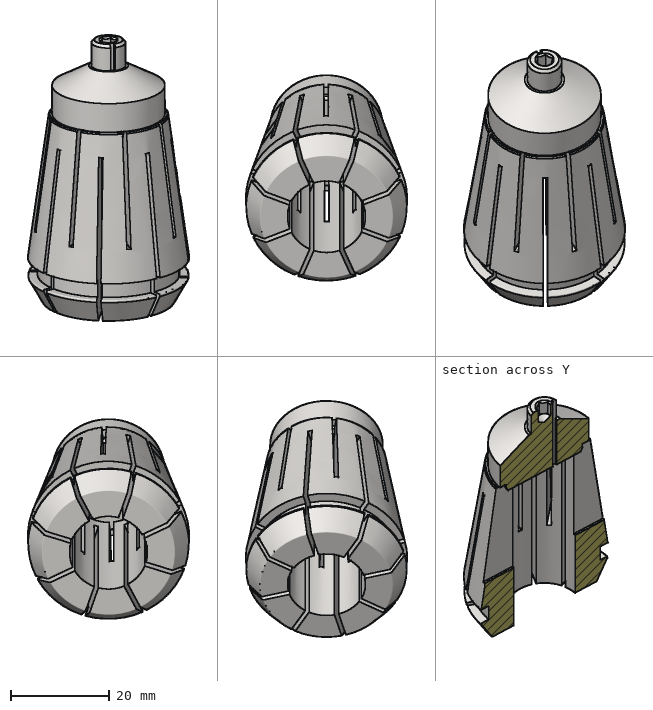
import cadquery as cq
import math

total_height = 56.0
body_max_diameter = 32.9
body_top_diameter = 24.5
body_top_z = 40.05
taper_bottom_z = 9.1
bore_diameter = 15.85
collar_chamfer = 0.3

groove_diameter = 29.0
groove_bottom_z = 5.5
flange_diameter = 32.7
flange_bottom_diameter = 27.1
flange_rim_height = 0.5
flange_rim_round = 0.2
foot_round = 0.2

slot_count = 8
slot_width = 0.9
upper_slot_bottom_z = 16.0
lower_slot_top_z = 35.0

head_diameter = 23.0
plug_diameter = 19.8
plug_bottom_diameter = 18.8
plug_bottom_z = 38.15
plug_cone_height = 0.95
shoulder_z = 46.2
neck_z = 50.45
neck_diameter = 8.05

screw_diameter = 7.0
screw_chamfer_height = 0.6
screw_top_diameter = 5.8
socket_flats = 3.0
socket_depth = 3.35
socket_mouth_diameter = 3.85
drill_tip_angle = 118.0
key_inner_radius = 2.25
key_outer_radius = 3.15
key_width = 1.0


def revolve_profile(points):
    """Revolve a closed (radius, z) outline about the Z axis."""
    return cq.Workplane("XZ").polyline(points).close().revolve(360, (0, 0, 0), (0, 1, 0))


def make_body():
    """Hollow tapered sleeve with its extraction groove and clamping flange."""
    bore_radius = bore_diameter / 2
    top_radius = body_top_diameter / 2
    rim_bottom_z = groove_bottom_z - flange_rim_height
    body = revolve_profile([
        (bore_radius, 0),
        (flange_bottom_diameter / 2, 0),
        (flange_diameter / 2, rim_bottom_z),
        (flange_diameter / 2, groove_bottom_z),
        (groove_diameter / 2, groove_bottom_z),
        (groove_diameter / 2, taper_bottom_z),
        (body_max_diameter / 2, taper_bottom_z),
        (top_radius, body_top_z - collar_chamfer),
        (top_radius - collar_chamfer, body_top_z),
        (bore_radius, body_top_z),
    ])
    rim_edge = cq.selectors.RadiusNthSelector(-2)
    body = body.edges(rim_edge).edges(">Z").fillet(flange_rim_round)
    foot_edge = cq.selectors.RadiusNthSelector(-1)
    return body.faces("<Z").edges(foot_edge).fillet(foot_round)


def make_slot_ring(bottom_z, top_z, first_angle):
    """Evenly spaced radial cutters between two heights."""
    return (
        cq.Workplane("XY", origin=(0, 0, bottom_z))
        .polarArray(body_max_diameter / 2, first_angle, 360, slot_count)
        .rect(body_max_diameter, slot_width)
        .extrude(top_z - bottom_z)
    )


def make_head():
    """Conical head with a plug in the sleeve below it and the screw shank on top."""
    screw_radius = screw_diameter / 2
    return revolve_profile([
        (0, plug_bottom_z),
        (plug_bottom_diameter / 2, plug_bottom_z),
        (plug_diameter / 2, plug_bottom_z + plug_cone_height),
        (plug_diameter / 2, body_top_z),
        (head_diameter / 2, body_top_z),
        (head_diameter / 2, shoulder_z),
        (neck_diameter / 2, neck_z),
        (screw_radius, neck_z),
        (screw_radius, total_height - screw_chamfer_height),
        (screw_top_diameter / 2, total_height),
        (0, total_height),
    ])


def make_socket():
    """Hexagon socket with a drill-point floor and a countersunk mouth."""
    corner_diameter = socket_flats / math.cos(math.radians(30))
    floor_z = total_height - socket_depth
    hexagon = (
        cq.Workplane("XY", origin=(0, 0, floor_z))
        .transformed(rotate=(0, 0, 90))
        .polygon(6, corner_diameter)
        .extrude(socket_depth)
    )
    floor_radius = socket_flats / 2
    tip_depth = floor_radius / math.tan(math.radians(drill_tip_angle / 2))
    mouth_radius = socket_mouth_diameter / 2
    mouth_floor_z = total_height - (mouth_radius - floor_radius)
    drill = revolve_profile([
        (0, floor_z - tip_depth),
        (floor_radius, floor_z),
        (floor_radius, mouth_floor_z),
        (mouth_radius, total_height),
        (0, total_height),
    ])
    return hexagon.union(drill)


def make_key_slot():
    """Slot down the +X side: open along the screw, a closed hole through the head."""
    def key_box(outer_radius, bottom_z):
        length = outer_radius - key_inner_radius
        return (
            cq.Workplane("XY", origin=(key_inner_radius + length / 2, 0, bottom_z))
            .rect(length, key_width)
            .extrude(total_height - bottom_z)
        )

    return key_box(screw_diameter, neck_z).union(key_box(key_outer_radius, plug_bottom_z))


half_pitch = 180 / slot_count
upper_slots = make_slot_ring(upper_slot_bottom_z, body_top_z, 0)
lower_slots = make_slot_ring(0, lower_slot_top_z, half_pitch)
sleeve = make_body().cut(upper_slots).cut(lower_slots)
head = make_head().cut(make_socket()).cut(make_key_slot())
result = sleeve.union(head)